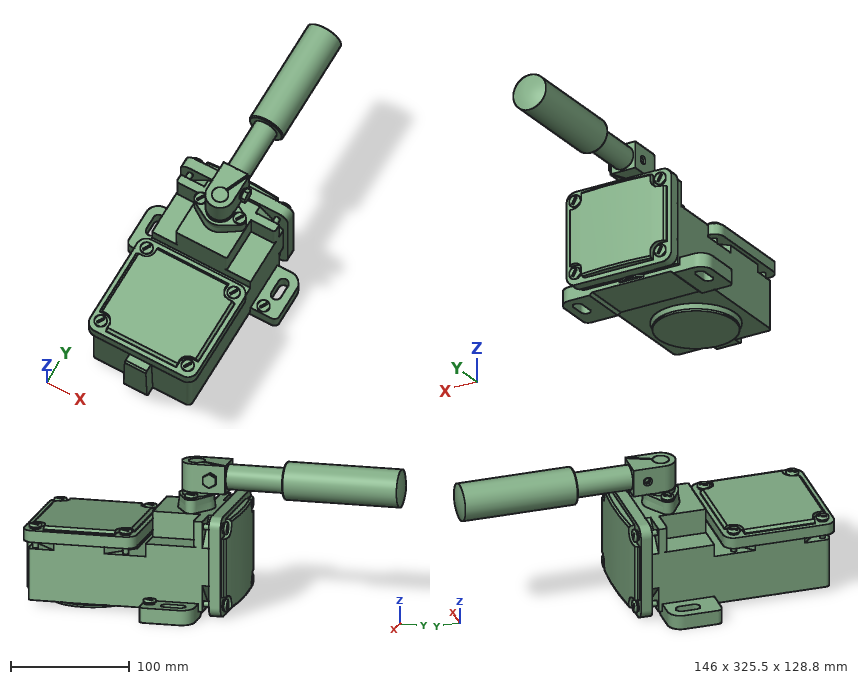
import cadquery as cq
import math


cover_width = 104.0
cover_overhang = 4.2
body_width = cover_width - 2 * cover_overhang
body_bottom = 6.2
body_front = -135.0
body_edge_radius = 4.2
low_body_top = 51.0
tower_front = -32.2
tower_back = 17.0
tower_height = 78.5
tower_top = body_bottom + tower_height

centre_block_width = 49.5
shoulder_top = 62.2
shoulder_back = 9.0
shoulder_wall_radius = 2.3
centre_block_edge_radius = 1.3

neck_height = 7.0
neck_chamfer = 22.8
cover_thickness = 10.0
cover_corner_radius = 9.0
screw_inset = 9.8
screw_clearance_radius = 8.0
post_radius = 2.45
front_cover_length = 98.0
back_cover_length = tower_height + 2 * cover_overhang
front_panel_height = 3.3
front_panel_bevel = 2.45
back_panel_height = 7.0
back_panel_bevel = 1.5
back_panel_crown_radius = 325.5

screw_neck_radius = 4.4
screw_neck_height = 1.5
screw_head_radius = 5.37
screw_head_height = 2.0
screw_head_edge = 1.0
screw_slot_length = 6.5
screw_slot_width = 1.3
screw_slot_depth = 0.8
screw_slot_angle = 60

foot_span = 146.0
foot_thickness = 13.0
foot_front = tower_front
foot_back = 13.7
foot_front_radius = 5.0
foot_back_radius = 11.5
foot_slot_x = 60.5
foot_slot_y = -5.0
foot_slot_length = 21.2
foot_slot_width = 9.0
foot_relief_depth = 2.3
foot_relief_bottom_width = 83.5
foot_relief_top_width = 77.5
earth_screw_x = 57.0
earth_screw_y = -26.5

front_boss_radius = 38.8
front_boss_foot_radius = 36.8
front_boss_cone_height = 4.2
back_boss_radius = 24.0
back_boss_height = 2.0

latch_depth = 9.8
latch_top_width = 20.5
latch_bottom_width = 22.8
latch_top_bevel = 1.5
latch_bottom_radius = 3.0

flange_screw_x = 19.0
flange_end_radius = 5.5
flange_radius = 15.0
flange_base_radius = 16.0
flange_base_height = 6.2
flange_top = 96.5
collar_radius = 12.0
shaft_radius = 7.0

lever_axis_z = 112.5
hub_width = 25.0
hub_height = 24.7
hub_back = 28.0
hub_bottom = lever_axis_z - hub_height / 2
hub_top = lever_axis_z + hub_height / 2
slit_width = 1.5
slit_angle = 67
clamp_screw_y = 15.3
clamp_neck_radius = 5.0
clamp_neck_height = 1.5
clamp_hex_across_corners = 12.5
clamp_hex_height = 4.2
clamp_hole_diameter = 5.0
clamp_hole_mouth_diameter = 7.5
clamp_hole_depth = 4.0
rod_radius = 10.7
grip_radius = 16.3
grip_front = 77.8
grip_shoulder = 177.8
grip_end = body_front - latch_depth + 325.5
grip_edge_chamfer = 1.0


def make_block(x_size, y_min, y_max, z_min, z_max):
    """Box centred on X = 0."""
    block = cq.Workplane("XY").box(x_size, y_max - y_min, z_max - z_min, centered=(True, False, False))
    return block.translate((0, y_min, z_min))


def make_cylinder(radius, x, y, z_min, z_max):
    return cq.Workplane("XY", origin=(x, y, z_min)).circle(radius).extrude(z_max - z_min)


def make_screw(x, y, z):
    """Slotted screw standing on height z."""
    head_bottom = z + screw_neck_height
    head_top = head_bottom + screw_head_height
    neck = make_cylinder(screw_neck_radius, x, y, z, head_bottom)
    head = make_cylinder(screw_head_radius, x, y, head_bottom, head_top)
    head = head.faces(">Z").edges().fillet(screw_head_edge)
    slot = (
        cq.Workplane("XY", origin=(x, y, head_top - screw_slot_depth))
        .transformed(rotate=(0, 0, screw_slot_angle))
        .rect(screw_slot_length, screw_slot_width)
        .extrude(screw_slot_depth)
    )
    return neck.union(head).cut(slot)


def make_cover(length, panel_height, panel_bevel, crown_radius=None):
    """Screwed cover on its neck, seated at Z = 0 and centred on the origin.

    With a crown radius, the panel arches across its width.
    """
    panel_length = length - 2 * cover_overhang
    neck = (
        cq.Workplane("XY")
        .workplane(offset=-neck_height)
        .rect(body_width, panel_length)
        .extrude(neck_height)
        .edges("|Z")
        .chamfer(neck_chamfer)
    )
    plate = (
        cq.Workplane("XY")
        .rect(cover_width, length)
        .extrude(cover_thickness)
        .edges("|Z")
        .fillet(cover_corner_radius)
    )
    panel = (
        cq.Workplane("XY")
        .workplane(offset=cover_thickness)
        .rect(body_width, panel_length)
        .extrude(panel_height)
    )
    if crown_radius is not None:
        crown_centre = cover_thickness + panel_height - crown_radius
        crown = cq.Workplane("XZ", origin=(0, length / 2, crown_centre)).circle(crown_radius).extrude(length)
        panel = panel.intersect(crown)
    panel = panel.faces(">Z").edges().chamfer(panel_bevel)
    clearance_side = 2 * (screw_inset + screw_clearance_radius)
    clearances = (
        cq.Workplane("XY")
        .workplane(offset=cover_thickness)
        .rect(cover_width, length, forConstruction=True)
        .vertices()
        .rect(clearance_side, clearance_side)
        .extrude(panel_height)
        .edges("|Z")
        .fillet(screw_clearance_radius)
    )
    cover = neck.union(plate).union(panel.cut(clearances))
    for side in (-1, 1):
        for end in (-1, 1):
            screw_x = side * (cover_width / 2 - screw_inset)
            screw_y = end * (length / 2 - screw_inset)
            cover = cover.union(make_cylinder(post_radius, screw_x, screw_y, -neck_height, 0))
            cover = cover.union(make_screw(screw_x, screw_y, cover_thickness))
    return cover


def make_body():
    """Low front body and the stepped tower behind it."""
    low_body = make_block(body_width, body_front, tower_back, body_bottom, low_body_top)
    low_body = low_body.edges("|Z and <Y").fillet(body_edge_radius)
    shoulders = make_block(body_width, tower_front, tower_back, body_bottom, shoulder_top)
    back_wall = make_block(body_width, shoulder_back, tower_back, shoulder_top, tower_top)
    back_wall = back_wall.edges("|Z and <Y").fillet(shoulder_wall_radius)
    centre_block = make_block(centre_block_width, tower_front, tower_back, shoulder_top, tower_top)
    centre_block = centre_block.edges("|Z and <Y").fillet(centre_block_edge_radius)
    return low_body.union(shoulders).union(back_wall).union(centre_block)


def make_feet():
    """Base plate with a slotted foot on each side and a relieved underside."""
    feet = make_block(foot_span, foot_front, foot_back, 0, foot_thickness)
    feet = feet.edges("|Z and <Y").fillet(foot_front_radius)
    feet = feet.edges("|Z and >Y").fillet(foot_back_radius)
    slots = (
        cq.Workplane("XY")
        .pushPoints([(-foot_slot_x, foot_slot_y), (foot_slot_x, foot_slot_y)])
        .slot2D(foot_slot_length, foot_slot_width, 90)
        .extrude(foot_thickness)
    )
    relief = (
        cq.Workplane("XZ", origin=(0, foot_back, 0))
        .moveTo(-foot_relief_bottom_width / 2, 0)
        .lineTo(foot_relief_bottom_width / 2, 0)
        .lineTo(foot_relief_top_width / 2, foot_relief_depth)
        .lineTo(-foot_relief_top_width / 2, foot_relief_depth)
        .close()
        .extrude(foot_back - foot_front)
    )
    earth_screw = make_screw(earth_screw_x, earth_screw_y, foot_thickness)
    return feet.cut(slots).cut(relief).union(earth_screw)


def make_bottom_bosses(front_boss_y):
    """Conical boss below the front cover and a shallow one below the tower."""
    cone_bottom = body_bottom - front_boss_cone_height
    front_boss = (
        cq.Workplane("XZ", origin=(0, front_boss_y, 0))
        .lineTo(front_boss_foot_radius, 0)
        .lineTo(front_boss_foot_radius, cone_bottom)
        .lineTo(front_boss_radius, body_bottom)
        .lineTo(0, body_bottom)
        .close()
        .revolve(360, (0, 0), (0, 1))
    )
    back_boss_y = tower_back - back_boss_radius
    back_boss = make_cylinder(back_boss_radius, 0, back_boss_y, body_bottom - back_boss_height, body_bottom)
    return front_boss.union(back_boss)


def make_latch():
    """Latch on the front face, widening downwards."""
    latch = (
        cq.Workplane("XZ", origin=(0, body_front, 0))
        .moveTo(-latch_bottom_width / 2, body_bottom)
        .lineTo(latch_bottom_width / 2, body_bottom)
        .lineTo(latch_top_width / 2, low_body_top)
        .lineTo(-latch_top_width / 2, low_body_top)
        .close()
        .extrude(latch_depth)
    )
    latch = latch.faces("<Y").edges(">Z").chamfer(latch_top_bevel)
    return latch.faces("<Y").edges("<Z").fillet(latch_bottom_radius)


def flange_outline(plane, centre_radius):
    """Round centre joined by tangent lines to a smaller round at each screw."""
    tangent_x = (centre_radius - flange_end_radius) / flange_screw_x
    tangent_y = math.sqrt(1 - tangent_x**2)
    centre_x = centre_radius * tangent_x
    centre_y = centre_radius * tangent_y
    end_x = flange_screw_x + flange_end_radius * tangent_x
    end_y = flange_end_radius * tangent_y
    tip_x = flange_screw_x + flange_end_radius
    return (
        plane.moveTo(-centre_x, -centre_y)
        .threePointArc((0, -centre_radius), (centre_x, -centre_y))
        .lineTo(end_x, -end_y)
        .threePointArc((tip_x, 0), (end_x, end_y))
        .lineTo(centre_x, centre_y)
        .threePointArc((0, centre_radius), (-centre_x, centre_y))
        .lineTo(-end_x, end_y)
        .threePointArc((-tip_x, 0), (-end_x, -end_y))
        .close()
    )


def make_shaft_and_flange():
    """Two-screw flange with a flared base, its collar and the shaft."""
    base_top = tower_top + flange_base_height
    base = flange_outline(cq.Workplane("XY", origin=(0, 0, tower_top)), flange_base_radius)
    base = flange_outline(base.workplane(offset=flange_base_height), flange_radius).loft(ruled=True)
    flange = flange_outline(cq.Workplane("XY", origin=(0, 0, base_top)), flange_radius)
    flange = flange.extrude(flange_top - base_top)
    collar = make_cylinder(collar_radius, 0, 0, flange_top, hub_bottom)
    shaft = make_cylinder(shaft_radius, 0, 0, flange_top, hub_top)
    assembly = base.union(flange).union(collar).union(shaft)
    for side in (-1, 1):
        assembly = assembly.union(make_screw(side * flange_screw_x, 0, flange_top))
    return assembly


def make_housing():
    front_cover_y = body_front - cover_overhang + front_cover_length / 2
    front_cover = make_cover(front_cover_length, front_panel_height, front_panel_bevel)
    front_cover = front_cover.translate((0, front_cover_y, low_body_top + neck_height))
    back_cover = make_cover(back_cover_length, back_panel_height, back_panel_bevel, back_panel_crown_radius)
    back_cover = back_cover.rotate((0, 0, 0), (1, 0, 0), -90)
    back_cover = back_cover.translate((0, tower_back + neck_height, body_bottom + tower_height / 2))
    return (
        make_body()
        .union(make_feet())
        .union(make_bottom_bosses(front_cover_y))
        .union(make_latch())
        .union(front_cover)
        .union(back_cover)
        .union(make_shaft_and_flange())
    )


def make_hub():
    """Clamp hub: round front, shaft bore and a slit from the bore to a back corner."""
    hub = make_block(hub_width, 0, hub_back, hub_bottom, hub_top)
    hub = hub.union(make_cylinder(hub_width / 2, 0, 0, hub_bottom, hub_top))
    bore = make_cylinder(shaft_radius, 0, 0, hub_bottom, hub_top)
    slit_length = 2 * hub_back
    slit = (
        cq.Workplane("XY", origin=(0, 0, hub_bottom))
        .box(slit_length, slit_width, hub_height, centered=(False, True, False))
        .rotate((0, 0, 0), (0, 0, 1), slit_angle)
    )
    hub = hub.cut(bore).cut(slit)
    tip_hole = (
        cq.Workplane("YZ", origin=(-hub_width / 2, clamp_screw_y, lever_axis_z))
        .circle(clamp_hole_diameter / 2)
        .extrude(clamp_hole_depth)
    )
    mouth_depth = (clamp_hole_mouth_diameter - clamp_hole_diameter) / 2
    mouth = (
        cq.Workplane("YZ", origin=(-hub_width / 2, clamp_screw_y, lever_axis_z))
        .circle(clamp_hole_mouth_diameter / 2)
        .workplane(offset=mouth_depth)
        .circle(clamp_hole_diameter / 2)
        .loft()
    )
    return hub.cut(tip_hole).cut(mouth)


def make_clamp_screw():
    """Hexagon screw head on the +X side of the hub, corners up and down."""
    side = cq.Workplane("YZ", origin=(hub_width / 2, clamp_screw_y, lever_axis_z))
    neck = side.circle(clamp_neck_radius).extrude(clamp_neck_height)
    head = (
        side.workplane(offset=clamp_neck_height)
        .transformed(rotate=(0, 0, 90))
        .polygon(6, clamp_hex_across_corners)
        .extrude(clamp_hex_height)
    )
    return neck.union(head)


def make_handle():
    """Rod and grip turned about the lever axis, the grip ending in a shallow dome."""
    dome_height = grip_end - grip_shoulder
    dome_radius = (grip_radius**2 + dome_height**2) / (2 * dome_height)
    half_angle = math.asin(grip_radius / dome_radius) / 2
    dome_centre = grip_end - dome_radius
    dome_middle = (
        dome_radius * math.sin(half_angle),
        dome_centre + dome_radius * math.cos(half_angle),
    )
    handle = (
        cq.Workplane("XY", origin=(0, 0, lever_axis_z))
        .moveTo(0, hub_back)
        .lineTo(rod_radius, hub_back)
        .lineTo(rod_radius, grip_front)
        .lineTo(grip_radius - grip_edge_chamfer, grip_front)
        .lineTo(grip_radius, grip_front + grip_edge_chamfer)
        .lineTo(grip_radius, grip_shoulder)
        .threePointArc(dome_middle, (0, grip_end))
        .close()
    )
    return handle.revolve(360, (0, 0), (0, 1))


def make_lever():
    return make_hub().union(make_clamp_screw()).union(make_handle())


housing = make_housing()
lever = make_lever()
result = cq.Compound.makeCompound([housing.val(), lever.val()])